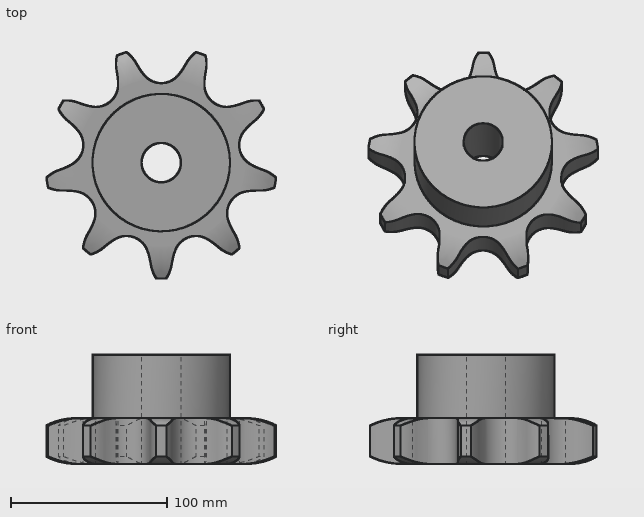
import cadquery as cq
import math

teeth = 9
chain_pitch = 44.5
roller_diameter = 28.0
overall_width = 147.1
rim_width = 29.4
total_height = 70.0
hub_diameter = 88.0
bore_diameter = 25.0

half_step = math.pi / teeth
pitch_radius = chain_pitch / (2 * math.sin(half_step))
seat_radius = 0.5025 * roller_diameter
transition_offset = 0.8 * roller_diameter
transition_radius = transition_offset + seat_radius
topping_offset = 1.4 * roller_diameter
seat_angle = math.radians(35 + 60 / teeth)
transition_angle = math.radians(18 - 56 / teeth)
flat_angle = transition_angle - seat_angle


def polar(radius, angle, center=(0, 0)):
    """Point at a radius and angle about a center."""
    return (center[0] + radius * math.cos(angle), center[1] + radius * math.sin(angle))


def turn(point, angle):
    """Point rotated about the sprocket axis."""
    return polar(math.hypot(*point), math.atan2(point[1], point[0]) + angle)


def mirror(point):
    """Point reflected across the center line of the gap on +Y."""
    return (-point[0], point[1])


roller_center = (0, pitch_radius)
transition_center = polar(transition_offset, math.pi - seat_angle, roller_center)
topping_center = polar(topping_offset, -half_step, roller_center)
topping_radius = (
    (topping_center[0] - transition_center[0]) * math.cos(flat_angle)
    + (topping_center[1] - transition_center[1]) * math.sin(flat_angle)
    - transition_radius
)

widest_gap_angle = -4 * half_step
widest_center = turn(topping_center, widest_gap_angle)
widest_x = overall_width / 2
widest_y = widest_center[1] + math.sqrt(topping_radius**2 - (widest_x - widest_center[0]) ** 2)
tip_radius = math.hypot(widest_x, widest_y)
tip_corner = turn((widest_x, widest_y), -widest_gap_angle)

gap_bottom = (0, pitch_radius - seat_radius)
seat_end = polar(seat_radius, -seat_angle, roller_center)
transition_mid = polar(transition_radius, -seat_angle + transition_angle / 2, transition_center)
flat_start = polar(transition_radius, flat_angle, transition_center)
flat_end = polar(topping_radius, flat_angle + math.pi, topping_center)
tip_corner_angle = math.atan2(tip_corner[1] - topping_center[1], tip_corner[0] - topping_center[0])
topping_mid = polar(topping_radius, (flat_angle + math.pi + tip_corner_angle) / 2, topping_center)

crown_radius = chain_pitch
crown_drop = 4.9
crown_length = math.sqrt(crown_radius**2 - (crown_radius - crown_drop) ** 2)
crown_start_radius = tip_radius - crown_length


def make_tooth_outline():
    """Closed outline of all gaps and tooth tips, going clockwise from the gap on +Y."""
    next_tip_mid = polar(tip_radius, math.pi / 2 - half_step)
    next_tip_corner = turn(mirror(tip_corner), -2 * half_step)
    outline = cq.Workplane("XY").moveTo(*mirror(tip_corner))
    for index in range(teeth):
        angle = -2 * half_step * index

        def place(point):
            return turn(point, angle)

        outline = (
            outline.threePointArc(place(mirror(topping_mid)), place(mirror(flat_end)))
            .lineTo(*place(mirror(flat_start)))
            .threePointArc(place(mirror(transition_mid)), place(mirror(seat_end)))
            .threePointArc(place(gap_bottom), place(seat_end))
            .threePointArc(place(transition_mid), place(flat_start))
            .lineTo(*place(flat_end))
            .threePointArc(place(topping_mid), place(tip_corner))
            .threePointArc(place(next_tip_mid), place(next_tip_corner))
        )
    return outline.close()


def make_crowned_blank():
    """Disc whose top and bottom faces curve down toward the tooth tips."""
    crown_half_angle = math.asin(crown_length / crown_radius) / 2
    mid_radius = crown_start_radius + crown_radius * math.sin(crown_half_angle)
    mid_drop = crown_radius * (1 - math.cos(crown_half_angle))
    return (
        cq.Workplane("XZ")
        .lineTo(crown_start_radius, 0)
        .threePointArc((mid_radius, mid_drop), (tip_radius, crown_drop))
        .lineTo(tip_radius, rim_width - crown_drop)
        .threePointArc((mid_radius, rim_width - mid_drop), (crown_start_radius, rim_width))
        .lineTo(0, rim_width)
        .close()
        .revolve(360, (0, 0, 0), (0, 1, 0))
    )


rim = make_crowned_blank().intersect(make_tooth_outline().extrude(rim_width))
hub = cq.Workplane("XY").circle(hub_diameter / 2).extrude(total_height)
bore = cq.Workplane("XY").circle(bore_diameter / 2).extrude(total_height)
result = rim.union(hub).cut(bore)